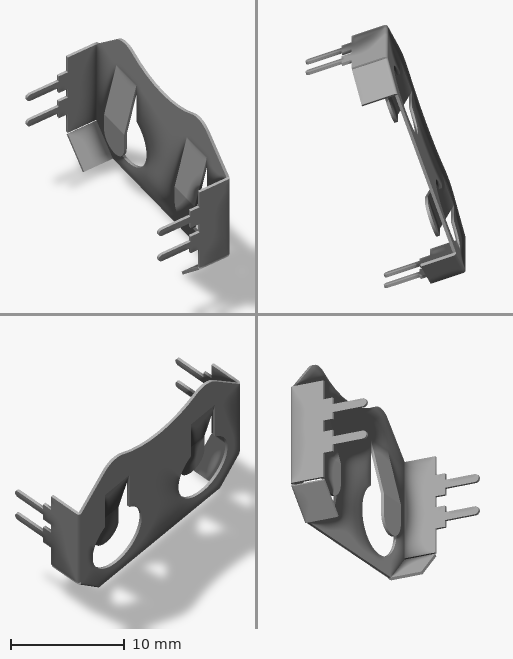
import cadquery as cq
import math

sheet = 0.27
half_width = 10.55
plate_half = half_width - sheet
corner_cut = 2.57
shoulder_height = 11.75

plate_top = 15.3
lobe_x = 5.73
lobe_radius = 2.0
dip_height = 13.85

flange_depth = 3.3
wall_bottom = 2.68

shoulder_width = 2.0
shoulder_reach = 4.25
pin_width = 0.75
pin_reach = 7.6
pin_heights = (5.92, 8.95)

spring_x = 5.57
spring_height = 4.62
spring_half = 1.58
window_radius = 3.18
spring_reach = 1.55
spring_knee = 6.45
root_fold = 0.07


def front_plane():
    """Sketch plane with local X = X and local Y = Z, extruding toward -Y."""
    return cq.Workplane("XZ")


def make_plate():
    """Flat plate with cut bottom corners, two lobes and a dip on top."""
    lobe_z = plate_top - lobe_radius
    run = plate_half - lobe_x
    rise = lobe_z - shoulder_height
    slope = math.atan2(rise, run) + math.asin(lobe_radius / math.hypot(run, rise))
    lobe_end_x = lobe_x + lobe_radius * math.sin(slope)
    lobe_end_z = lobe_z + lobe_radius * math.cos(slope)
    drop = plate_top - dip_height
    centre_gap = (lobe_x**2 + drop**2) / (2 * drop)
    dip_radius = centre_gap - lobe_radius
    dip_x = lobe_x * dip_radius / centre_gap
    dip_z = dip_height + dip_radius - math.sqrt(dip_radius**2 - dip_x**2)
    return (
        front_plane()
        .moveTo(corner_cut - plate_half, 0)
        .lineTo(plate_half - corner_cut, 0)
        .lineTo(plate_half, corner_cut)
        .lineTo(plate_half, shoulder_height)
        .lineTo(lobe_end_x, lobe_end_z)
        .threePointArc((lobe_x, plate_top), (dip_x, dip_z))
        .threePointArc((0, dip_height), (-dip_x, dip_z))
        .threePointArc((-lobe_x, plate_top), (-lobe_end_x, lobe_end_z))
        .lineTo(-plate_half, shoulder_height)
        .lineTo(-plate_half, corner_cut)
        .close()
        .extrude(sheet)
    )


def make_flange(length):
    """Folded strip along Z, inner face on X = 0, with a rounded outer fold."""
    bend = sheet * math.sqrt(0.5)
    return (
        cq.Workplane("XY")
        .moveTo(0, 0)
        .threePointArc((bend, bend - sheet), (sheet, -sheet))
        .lineTo(sheet, -flange_depth)
        .lineTo(0, -flange_depth)
        .close()
        .extrude(length)
    )


def make_wall_strip(start, end, width, height):
    """Strip in the plane of the right side wall, reaching from start to end along -Y."""
    return (
        cq.Workplane("YZ")
        .workplane(offset=plate_half)
        .center(-(start + end) / 2, height)
        .rect(end - start, width)
        .extrude(sheet)
    )


def make_pin(height):
    """Stepped solder pin with a round tip, in the plane of the right side wall."""
    tip_radius = pin_width / 2
    tip_centre = pin_reach - tip_radius
    tip = (
        cq.Workplane("YZ")
        .workplane(offset=plate_half)
        .center(-tip_centre, height)
        .circle(tip_radius)
        .extrude(sheet)
    )
    shoulder = make_wall_strip(sheet, shoulder_reach, shoulder_width, height)
    shank = make_wall_strip(sheet, tip_centre, pin_width, height)
    return shoulder.union(shank).union(tip)


def make_right_side():
    """Right side wall with its pins, and the tab on the cut corner below it."""
    wall = make_flange(shoulder_height - wall_bottom).translate((plate_half, 0, wall_bottom))
    for height in pin_heights:
        wall = wall.union(make_pin(height))
    tab = (
        make_flange(corner_cut * math.sqrt(2))
        .rotate((0, 0, 0), (0, 1, 0), 45)
        .translate((plate_half - corner_cut, 0, 0))
    )
    return wall, tab


def make_spring_outline(depth):
    """Round-ended strip, from the spring root down to the tongue tip."""
    length = shoulder_height - spring_height
    strip = front_plane().center(spring_x, spring_height + length / 2).rect(2 * spring_half, length)
    tip = front_plane().center(spring_x, spring_height).circle(spring_half)
    return strip.extrude(depth).union(tip.extrude(depth))


def make_spring():
    """Tongue leaning out of the plate, then turning parallel to it."""
    lean_out = spring_reach - sheet
    root_z = shoulder_height - root_fold
    lean = math.atan2(lean_out, root_z - spring_knee)
    miter = sheet * math.tan(lean / 2)
    root_radius = root_fold / math.tan(lean / 2)
    strip_top = shoulder_height + sheet
    tip_z = spring_height - spring_half
    profile = [
        (0, strip_top),
        (-sheet, strip_top),
        (-sheet, root_z),
        (-spring_reach, spring_knee),
        (-spring_reach, tip_z),
        (-lean_out, tip_z),
        (-lean_out, spring_knee - miter),
        (0, root_z - miter),
    ]
    strip = (
        cq.Workplane("YZ")
        .workplane(offset=spring_x - spring_half)
        .polyline(profile)
        .close()
        .extrude(2 * spring_half)
    )
    root_front = cq.selectors.NearestToPointSelector((spring_x, -sheet, root_z))
    knee_front = cq.selectors.NearestToPointSelector((spring_x, -spring_reach, spring_knee))
    strip = strip.edges(root_front).fillet(root_radius)
    strip = strip.edges(knee_front).fillet(sheet)
    return strip.intersect(make_spring_outline(spring_reach))


window = (
    front_plane().center(spring_x, spring_height).circle(window_radius).extrude(sheet)
    .union(make_spring_outline(sheet))
)
side_wall, corner_tab = make_right_side()
spring = make_spring()

result = make_plate().cut(window).cut(window.mirror("YZ"))
for feature in (side_wall, corner_tab, spring):
    result = result.union(feature).union(feature.mirror("YZ"))